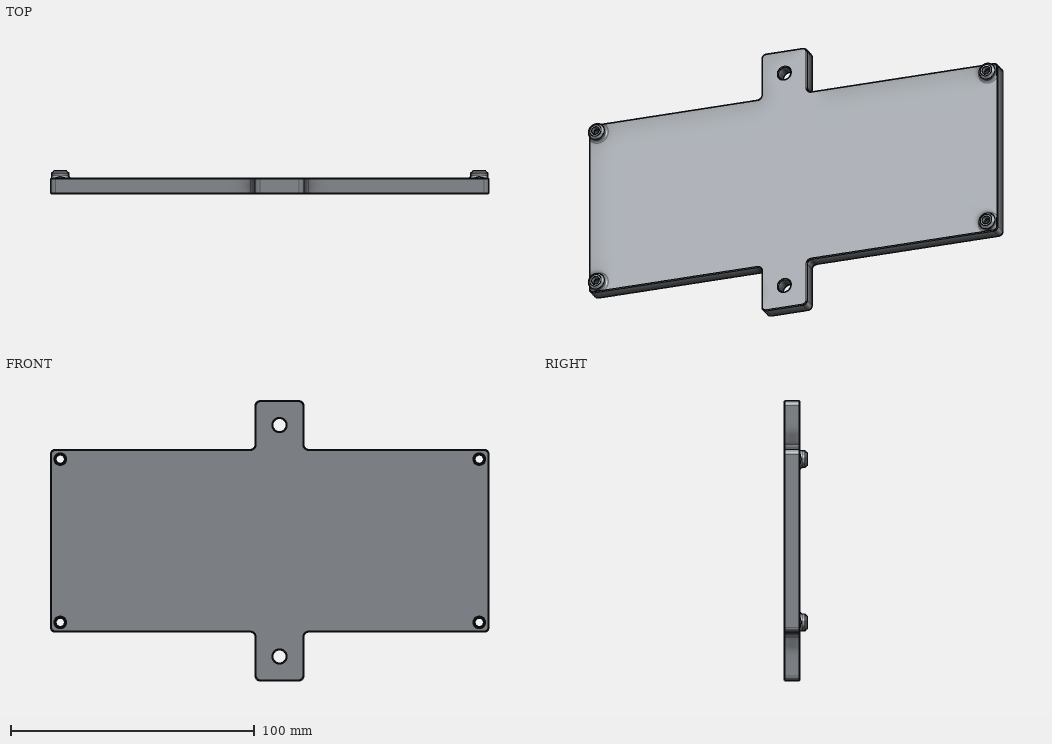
import cadquery as cq

plate_length = 180.0
plate_height = 75.0
plate_thickness = 6.5
corner_radius = 2.0
edge_chamfer = 0.4

tab_width = 20.0
tab_span = 115.0
tab_offset = 4.0
tab_hole_diameter = 5.4

screw_inset = 4.0
boss_height = 3.0
boss_diameter = 7.0
boss_chamfer = 1.0
boss_foot_radius = 1.0
screw_hole_diameter = 3.4
screw_bore_diameter = 4.3
screw_bore_depth = plate_thickness

overall_depth = plate_thickness + boss_height
tab_hole_z = (tab_span + plate_height) / 4
screw_x = plate_length / 2 - screw_inset
screw_z = plate_height / 2 - screw_inset


def block(length, height, depth, x_center=0.0):
    """Box centred on x_center and Z = 0, running from Y = 0 toward +Y."""
    box = cq.Workplane("XY").box(length, depth, height, centered=(True, False, True))
    return box.translate((x_center, 0, 0))


def make_plate():
    """Cross-shaped plate with rounded corners and bevelled rims."""
    strip = block(tab_width, tab_span, plate_thickness, tab_offset)
    plate = block(plate_length, plate_height, plate_thickness).union(strip)
    plate = plate.edges("|Y").fillet(corner_radius)
    return plate.faces("<Y or >Y").chamfer(edge_chamfer)


def turned(profile, x, z):
    """Solid turned from a closed (radius, Y) profile about a Y axis at x, z."""
    return profile.close().revolve(360, (0, 0, 0), (0, 1, 0)).translate((x, 0, z))


def boss(x, z):
    """Round boss on the back face with a bevelled top and a concave foot fillet."""
    radius = boss_diameter / 2
    foot_reach = radius + boss_foot_radius
    foot_y = plate_thickness
    profile = (
        cq.Workplane("XY")
        .moveTo(0, foot_y - edge_chamfer)
        .lineTo(foot_reach, foot_y - edge_chamfer)
        .lineTo(foot_reach, foot_y)
        .radiusArc((radius, foot_y + boss_foot_radius), boss_foot_radius)
        .lineTo(radius, overall_depth - boss_chamfer)
        .lineTo(radius - boss_chamfer, overall_depth)
        .lineTo(0, overall_depth)
    )
    return turned(profile, x, z)


def boss_limits():
    """Flat area of the back face, extended in Y, that the boss feet stay within."""
    inset = 2 * edge_chamfer
    limits = block(plate_length - inset, plate_height - inset, overall_depth)
    return limits.edges("|Y").fillet(corner_radius - edge_chamfer)


def screw_hole(x, z):
    """Bevelled bore from the front that narrows at the base of the boss."""
    bore_radius = screw_bore_diameter / 2
    hole_radius = screw_hole_diameter / 2
    profile = (
        cq.Workplane("XY")
        .lineTo(bore_radius + edge_chamfer, 0)
        .lineTo(bore_radius, edge_chamfer)
        .lineTo(bore_radius, screw_bore_depth)
        .lineTo(hole_radius, screw_bore_depth)
        .lineTo(hole_radius, overall_depth)
        .lineTo(0, overall_depth)
    )
    return turned(profile, x, z)


def tab_hole(z):
    """Through hole in a tab, bevelled at both faces."""
    radius = tab_hole_diameter / 2
    profile = (
        cq.Workplane("XY")
        .lineTo(radius + edge_chamfer, 0)
        .lineTo(radius, edge_chamfer)
        .lineTo(radius, plate_thickness - edge_chamfer)
        .lineTo(radius + edge_chamfer, plate_thickness)
        .lineTo(0, plate_thickness)
    )
    return turned(profile, tab_offset, z)


screw_points = [(x, z) for x in (-screw_x, screw_x) for z in (-screw_z, screw_z)]

result = make_plate()
limits = boss_limits()
for x, z in screw_points:
    result = result.union(boss(x, z).intersect(limits))
    result = result.cut(screw_hole(x, z))
for z in (-tab_hole_z, tab_hole_z):
    result = result.cut(tab_hole(z))